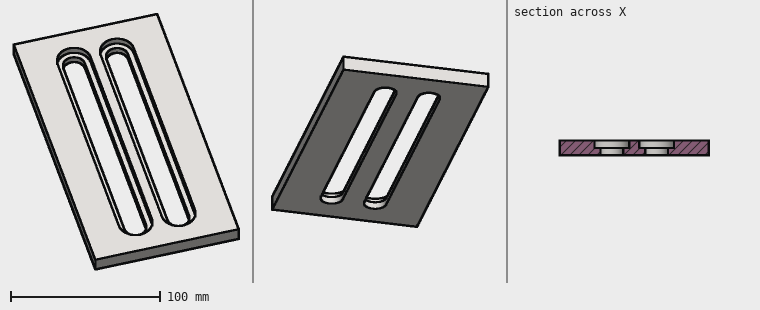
import cadquery as cq

length = 200
width = 100
thickness = 10

slot_spacing = 30
slot_travel = 150
through_width = 15.0
recess_width = 23.0
recess_depth = 5.0


def slot_cutter(slot_width, depth):
    """Both slots of one width, cut down from the top face."""
    return (
        cq.Workplane("XY")
        .workplane(offset=thickness / 2)
        .pushPoints([(0, -slot_spacing / 2), (0, slot_spacing / 2)])
        .slot2D(slot_travel + slot_width, slot_width)
        .extrude(-depth)
    )


plate = cq.Workplane("XY").box(length, width, thickness)
through_slots = slot_cutter(through_width, thickness)
recesses = slot_cutter(recess_width, recess_depth)

result = plate.cut(through_slots).cut(recesses)